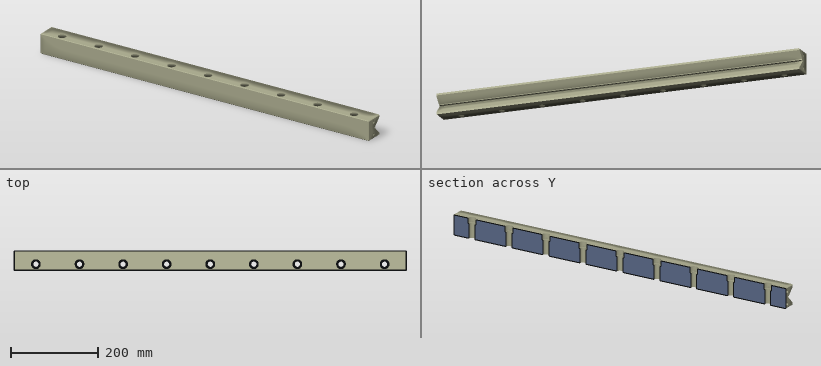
import cadquery as cq

length = 900.0
width = 45.0
height = 50.0
edge_chamfer = 1.35

groove_half_height = 21.0
root_flat_width = 8.0
relief_width = 4.0
relief_depth = 22.0

hole_count = 9
hole_pitch = length / hole_count
hole_from_back = 14.0
hole_diameter = 14.0
counterbore_diameter = 20.0
counterbore_depth = 13.5

end_hole_diameter = 5.2
end_hole_mouth_diameter = 7.0
end_hole_depth = 9.0
end_hole_from_back = 20.0
end_hole_offset = 15.0


def rail_body():
    """Bar with the ends and the two long back edges chamfered; the back face is at Y = 0."""
    bar = cq.Workplane("XY").box(length, width, height, centered=(True, False, True))
    return bar.faces("<Y").edges("|X").chamfer(edge_chamfer).faces("<X or >X").chamfer(edge_chamfer)


def raceway():
    """V groove with 45 degree flanks, a flat root and a square relief slot, over the full length."""
    flank_depth = groove_half_height - root_flat_width / 2
    slot_y = width - relief_depth
    flank_end_y = width - flank_depth
    points = [
        (width, groove_half_height),
        (flank_end_y, root_flat_width / 2),
        (flank_end_y, relief_width / 2),
        (slot_y, relief_width / 2),
        (slot_y, -relief_width / 2),
        (flank_end_y, -relief_width / 2),
        (flank_end_y, -root_flat_width / 2),
        (width, -groove_half_height),
    ]
    return cq.Workplane("YZ").polyline(points).close().extrude(length / 2, both=True)


def drill_mounting_holes(body):
    first_x = -length / 2 + hole_pitch / 2
    centers = [(first_x + i * hole_pitch, hole_from_back) for i in range(hole_count)]
    top = cq.Workplane("XY", origin=(0, 0, height / 2)).pushPoints(centers)
    body = body.cut(top.circle(hole_diameter / 2).extrude(-height))
    return body.cut(top.circle(counterbore_diameter / 2).extrude(-counterbore_depth))


def end_hole_countersink(side, y, z):
    """45 degree cone that opens an end hole out to its mouth diameter."""
    mouth_radius = end_hole_mouth_diameter / 2
    hole_radius = end_hole_diameter / 2
    mouth = cq.Vector(side * length / 2, y, z)
    inward = cq.Vector(-side, 0, 0)
    return cq.Solid.makeCone(mouth_radius, hole_radius, mouth_radius - hole_radius, mouth, inward)


def drill_end_holes(body):
    for side in (-1, 1):
        end = cq.Workplane("YZ", origin=(side * length / 2, 0, 0))
        centers = [(end_hole_from_back, end_hole_offset), (end_hole_from_back, -end_hole_offset)]
        holes = end.pushPoints(centers).circle(end_hole_diameter / 2).extrude(-side * end_hole_depth)
        body = body.cut(holes)
        for y, z in centers:
            body = body.cut(end_hole_countersink(side, y, z))
    return body


rail = rail_body().cut(raceway())
rail = drill_mounting_holes(rail)
rail = drill_end_holes(rail)
result = rail.translate((0, -width / 2, 0))